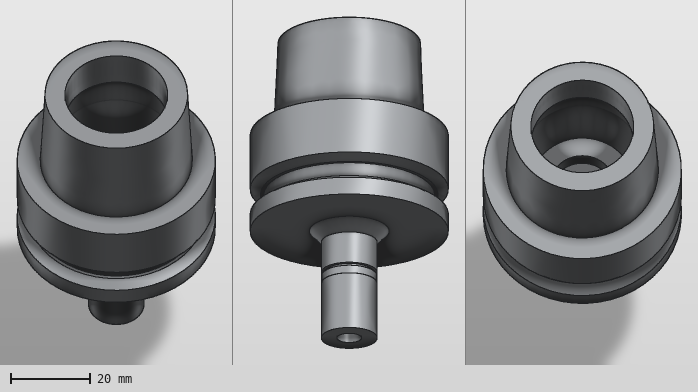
import cadquery as cq

total_height = 80.0
shoulder_z = 55.0
groove_top_z = 40.5
groove_bottom_z = 33.6
flange_bottom_z = 29.0
relief_top_z = 17.8
relief_bottom_z = 17.0
joint_z = 14.9

flange_radius = 25.0
nose_top_radius = 18.0
nose_base_radius = 19.2
shank_radius = 7.0
relief_radius = 6.2
collar_radius = 7.0

groove_floor_radius = 21.5
groove_side_radius = 22.4
groove_side_height = 1.5
root_cone_size = 3.0

mouth_radius = 13.0
mouth_depth = 10.0
undercut_radius = 15.0
undercut_depth = 19.2
undercut_cone_height = 14.4
pocket_radius = 8.0
pocket_floor_z = 42.0
housing_channel_radius = 3.4

tip_channel_radius = 3.1


def make_housing_outside():
    """Revolved outer form: a tapered nose, a flange and a shank with a conical root."""
    root_radius = shank_radius + root_cone_size
    root_z = flange_bottom_z - root_cone_size
    profile = (
        cq.Workplane("XZ")
        .moveTo(0, total_height)
        .lineTo(nose_top_radius, total_height)
        .lineTo(nose_base_radius, shoulder_z)
        .lineTo(flange_radius, shoulder_z)
        .lineTo(flange_radius, flange_bottom_z)
        .lineTo(root_radius, flange_bottom_z)
        .lineTo(shank_radius, root_z)
        .lineTo(shank_radius, relief_top_z)
        .lineTo(relief_radius, relief_top_z)
        .lineTo(relief_radius, relief_bottom_z)
        .lineTo(collar_radius, relief_bottom_z)
        .lineTo(collar_radius, joint_z)
        .lineTo(0, joint_z)
        .close()
    )
    return profile.revolve(360, (0, 0, 0), (0, 1, 0))


def make_grip_groove():
    """Ring to cut from the flange: sloped sides, a small ledge and a straight floor."""
    floor_top_z = groove_top_z - groove_side_height
    floor_bottom_z = groove_bottom_z + groove_side_height
    profile = cq.Workplane("XZ").polyline([
        (flange_radius, groove_top_z),
        (groove_side_radius, floor_top_z),
        (groove_floor_radius, floor_top_z),
        (groove_floor_radius, floor_bottom_z),
        (groove_side_radius, floor_bottom_z),
        (flange_radius, groove_bottom_z),
    ]).close()
    return profile.revolve(360, (0, 0, 0), (0, 1, 0))


def make_bore():
    """Stepped bore: mouth, wider undercut with a conical end, pocket and channel."""
    mouth_bottom_z = total_height - mouth_depth
    undercut_bottom_z = total_height - undercut_depth
    cone_bottom_z = undercut_bottom_z - undercut_cone_height
    profile = cq.Workplane("XZ").polyline([
        (0, total_height),
        (mouth_radius, total_height),
        (mouth_radius, mouth_bottom_z),
        (undercut_radius, mouth_bottom_z),
        (undercut_radius, undercut_bottom_z),
        (mouth_radius, cone_bottom_z),
        (pocket_radius, cone_bottom_z),
        (pocket_radius, pocket_floor_z),
        (housing_channel_radius, pocket_floor_z),
        (housing_channel_radius, joint_z),
        (0, joint_z),
    ]).close()
    return profile.revolve(360, (0, 0, 0), (0, 1, 0))


def make_housing():
    """Tool holder with a grip groove and an undercut bore."""
    return make_housing_outside().cut(make_grip_groove()).cut(make_bore())


def make_shank_tip():
    """Plain sleeve that continues the shank below the joint."""
    return cq.Workplane("XY").circle(shank_radius).circle(tip_channel_radius).extrude(joint_z)


housing = make_housing()
shank_tip = make_shank_tip()

result = cq.Compound.makeCompound([housing.val(), shank_tip.val()])